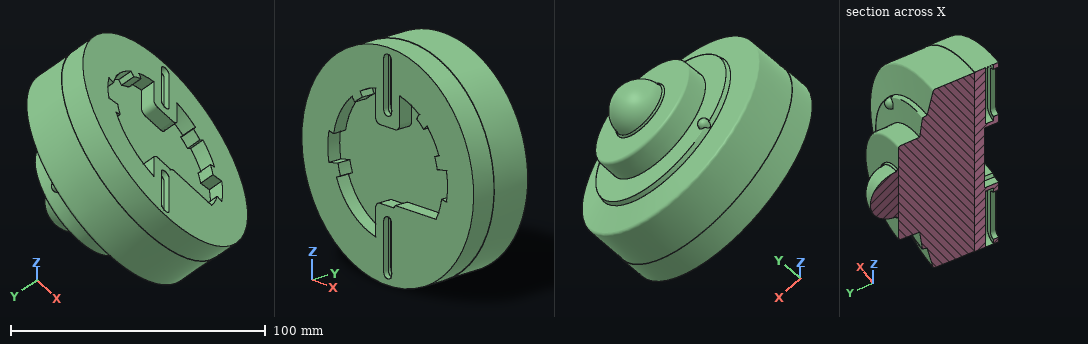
import cadquery as cq
import math


base_radius = 49.3
base_thickness = 11.1

pocket_depth = 6.4
pocket_radius = 31.5
keyway_radius = 34.3
nib_radius = 29.0
keyway_half_angle = 11.0
nib_angle = 10.5
nib_starts = (keyway_half_angle, 44.6, 120.0, 180.0 + keyway_half_angle)

tab_half_width = 6.9
tab_end = 16.3
tab_corner_radius = 2.6
ledge_height = 1.2
ledge_start = 3.3

slot_width = 4.5
slot_inner = 20.8
slot_outer = 46.4
undercut_depth = 5.9
slot_lip = 2.6
undercut_margin = 2.3

cover_foot_radius = 49.1
cover_shoulder_radius = 49.0
cover_shoulder_y = 29.9
step_foot_radius = 36.6
step_foot_y = 32.7
step_rim_radius = 36.0
step_rim_y = 34.9
step_rim_fillet = 0.3
head_foot_radius = 26.1
head_foot_y = 36.2
head_top_radius = 25.8
head_top_y = 45.9
cover_fillet = 1.3

overall_height = 58.6
dome_radius = 12.5
dome_center_y = overall_height - dome_radius
collar_radius = 13.2
collar_height = 0.8
collar_fillet = 0.4

lamp_radius = 2.5
lamp_circle_radius = 34.0
lamp_top_y = 37.4
lamp_bottom_y = 31.5
lamp_angles = (45.0, 225.0)


def polar(radius, angle):
    """Point at a radius and an angle (degrees) around the axis."""
    return radius * math.cos(math.radians(angle)), radius * math.sin(math.radians(angle))


def plan_at(y):
    """Plan in X and Z whose extrusions run from Y = y toward -Y."""
    return cq.Workplane("XZ", origin=(0, y, 0))


def ring_sector(inner, outer, start_angle, span):
    """Solid ring sector as deep as the pocket."""
    middle = start_angle + span / 2
    end_angle = start_angle + span
    return (
        plan_at(pocket_depth).moveTo(*polar(inner, start_angle))
        .lineTo(*polar(outer, start_angle))
        .threePointArc(polar(outer, middle), polar(outer, end_angle))
        .lineTo(*polar(inner, end_angle))
        .threePointArc(polar(inner, middle), polar(inner, start_angle))
        .close()
        .extrude(pocket_depth)
    )


def upper_tab():
    length = keyway_radius - tab_end
    return (
        plan_at(pocket_depth).center(0, tab_end + length / 2)
        .rect(2 * tab_half_width, length)
        .extrude(pocket_depth)
        .edges("|Y and <Z")
        .fillet(tab_corner_radius)
    )


def lower_tab():
    """Lower tab, widened to +X by a slightly higher ledge."""
    return (
        plan_at(pocket_depth).moveTo(-tab_half_width, -keyway_radius)
        .lineTo(-tab_half_width, -tab_end - tab_corner_radius)
        .radiusArc((-tab_half_width + tab_corner_radius, -tab_end), tab_corner_radius)
        .lineTo(ledge_start, -tab_end)
        .lineTo(ledge_start + ledge_height, -tab_end + ledge_height)
        .lineTo(keyway_radius, -tab_end + ledge_height)
        .lineTo(keyway_radius, -keyway_radius)
        .close()
        .extrude(pocket_depth)
    )


def mounting_pocket():
    pocket = plan_at(pocket_depth).circle(pocket_radius).extrude(pocket_depth)
    for side in (0, 180):
        start = side - keyway_half_angle
        pocket = pocket.union(ring_sector(nib_radius, keyway_radius, start, 2 * keyway_half_angle))
    for start in nib_starts:
        pocket = pocket.cut(ring_sector(nib_radius, keyway_radius, start, nib_angle))
    return pocket.cut(upper_tab()).cut(lower_tab())


def slot_pair(start, end, margin):
    """Upper and lower slot from Y = start to Y = end, widened all round by the margin."""
    middle = (slot_inner + slot_outer) / 2
    length = slot_outer - slot_inner + 2 * margin
    return (
        plan_at(end).pushPoints([(0, middle), (0, -middle)])
        .slot2D(length, slot_width + 2 * margin, 90)
        .extrude(end - start)
    )


def screw_slots():
    """Keyed slots: a narrow mouth, then a wider undercut."""
    mouth = slot_pair(0, slot_lip, 0)
    undercut = slot_pair(slot_lip, undercut_depth, undercut_margin)
    return mouth.union(undercut)


def half_profile(start_y):
    """Start a profile on the axis, with the radius along Z and the height along Y."""
    return cq.Workplane("ZY").moveTo(0, start_y)


def revolve_about_y(profile):
    return profile.close().revolve(360, (0, 0, 0), (0, 1, 0))


def make_base():
    profile = (
        half_profile(0)
        .lineTo(base_radius, 0)
        .lineTo(base_radius, base_thickness)
        .lineTo(0, base_thickness)
    )
    return revolve_about_y(profile).cut(mounting_pocket()).cut(screw_slots())


def circle_at(radius, y):
    """Selector for the circular edge of a given radius and height around the axis."""
    margin = 0.05
    reach = radius + margin
    return cq.selectors.BoxSelector(
        (-reach, y - margin, -reach),
        (reach, y + margin, reach),
        boundingbox=True,
    )


def make_cover():
    profile = (
        half_profile(base_thickness)
        .lineTo(cover_foot_radius, base_thickness)
        .lineTo(cover_shoulder_radius, cover_shoulder_y)
        .lineTo(step_foot_radius, step_foot_y)
        .lineTo(step_rim_radius, step_rim_y)
        .lineTo(head_foot_radius, head_foot_y)
        .lineTo(head_top_radius, head_top_y)
        .lineTo(0, head_top_y)
    )
    cover = revolve_about_y(profile)
    cover = cover.edges(circle_at(cover_shoulder_radius, cover_shoulder_y)).fillet(cover_fillet)
    cover = cover.edges(circle_at(head_top_radius, head_top_y)).fillet(cover_fillet)
    return cover.edges(circle_at(step_rim_radius, step_rim_y)).fillet(step_rim_fillet)


def make_lens():
    collar_top_y = head_top_y + collar_height
    dome_foot_radius = math.sqrt(dome_radius**2 - (collar_top_y - dome_center_y) ** 2)
    dome_side, dome_rise = polar(dome_radius, 45)
    profile = (
        half_profile(head_top_y)
        .lineTo(collar_radius, head_top_y)
        .lineTo(collar_radius, collar_top_y - collar_fillet)
        .tangentArcPoint((collar_radius - collar_fillet, collar_top_y), relative=False)
        .lineTo(dome_foot_radius, collar_top_y)
        .threePointArc((dome_side, dome_center_y + dome_rise), (0, overall_height))
    )
    return revolve_about_y(profile)


def make_lamp(angle):
    """Round-topped lamp, sunk into the cover."""
    x, z = polar(lamp_circle_radius, angle)
    dome_start_y = lamp_top_y - lamp_radius
    height = dome_start_y - lamp_bottom_y
    stem = plan_at(dome_start_y).center(x, z).circle(lamp_radius).extrude(height)
    tip = cq.Workplane("XY", origin=(x, dome_start_y, z)).sphere(lamp_radius)
    return stem.union(tip)


base = make_base()
cover = make_cover()
lens = make_lens()
lamps = [make_lamp(angle) for angle in lamp_angles]
for lamp in lamps:
    cover = cover.cut(lamp)

result = cq.Compound.makeCompound(
    [base.val(), cover.val(), lens.val(), *[lamp.val() for lamp in lamps]]
)